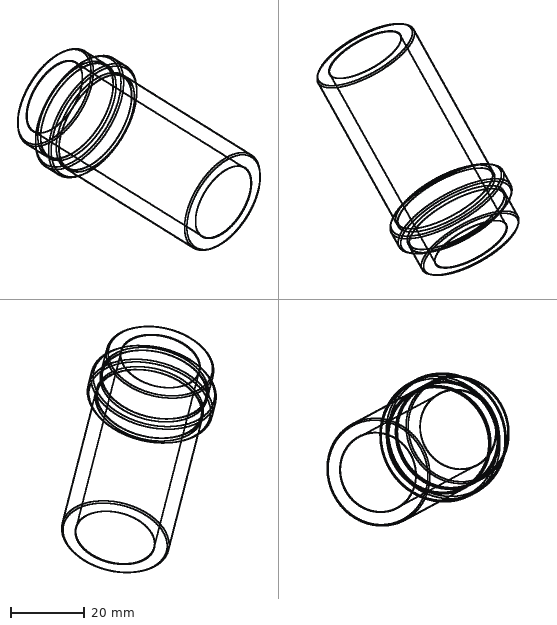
import cadquery as cq

length = 64.0
body_radius = 30.0 / 2
collar_radius = 35.0 / 2
bore_radius = 22.0 / 2
collar_start = 9.0
collar_end = 15.0
tube_chamfer = 0.45
collar_chamfer = 0.5
groove_width = 1.0
groove_depth = 0.4
bore_chamfer = 0.1


def tube():
    """Straight outer cylinder with both rims chamfered."""
    cylinder = cq.Workplane("YZ").circle(body_radius).extrude(length)
    return cylinder.edges("%CIRCLE").chamfer(tube_chamfer)


def collar():
    """Locating collar with both rims chamfered."""
    disc = (
        cq.Workplane("YZ", origin=(collar_start, 0, 0))
        .circle(collar_radius)
        .extrude(collar_end - collar_start)
    )
    return disc.edges("%CIRCLE").chamfer(collar_chamfer)


def relief_groove(face_x, direction):
    """Round-bottomed relief ring beside a collar face, deepest at mid width."""
    middle = (face_x + direction * groove_width / 2, body_radius - groove_depth)
    far_edge = (face_x + direction * groove_width, body_radius)
    return (
        cq.Workplane("XY")
        .moveTo(face_x, body_radius)
        .threePointArc(middle, far_edge)
        .close()
        .revolve(360, (0, 0, 0), (1, 0, 0))
    )


def bore():
    """Through bore, with both mouths chamfered."""
    mouth_radius = bore_radius + bore_chamfer
    return (
        cq.Workplane("XY")
        .moveTo(0, 0)
        .lineTo(0, mouth_radius)
        .lineTo(bore_chamfer, bore_radius)
        .lineTo(length - bore_chamfer, bore_radius)
        .lineTo(length, mouth_radius)
        .lineTo(length, 0)
        .close()
        .revolve(360, (0, 0, 0), (1, 0, 0))
    )


result = tube().union(collar())
for face_x, direction in ((collar_start, -1), (collar_end, 1)):
    result = result.cut(relief_groove(face_x, direction))
result = result.cut(bore())